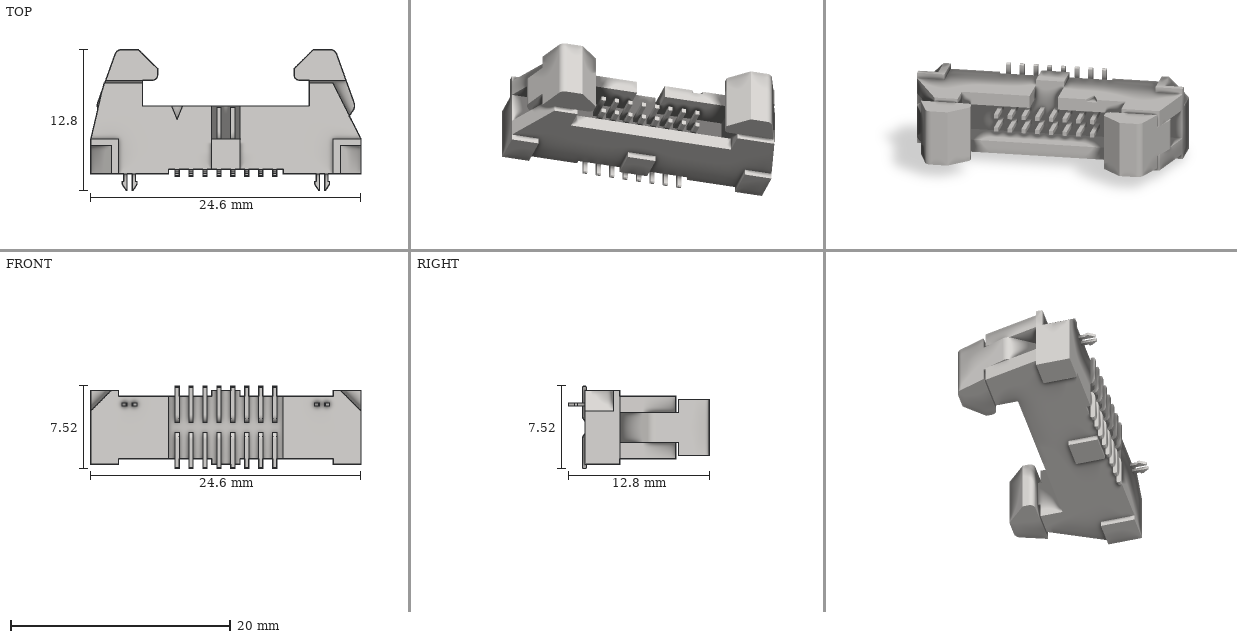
import cadquery as cq
import math


half_length = 12.32
shell_half_z = 2.85
shell_top_y = 6.2
base_height = 3.18
recess_half_x = 5.22
recess_depth = 0.42

ear_top_y = 8.28
ear_inner_x = 7.6
ear_top_left_x = 11.11
ear_top_right_x = 9.75

block_half_z = 3.38
corner_block_length = 2.55
key_width = 2.6
corner_cut = 1.87
corner_cut_height = 2.59

cavity_half_z = 1.7
slot_half_z = 1.38
mark_width = 1.0
mark_length = 1.25
mark_depth = 0.25

pin_count = 8
pin_row_length = 8.9
pin_pitch = pin_row_length / (pin_count - 1)
pin_width = 0.4
pin_top_y = 6.05
pin_leg_y = -0.25
pin_span_z = 7.52
pin_reach_z = pin_span_z / 2
pin_bend_radius = 0.67
pin_tip_chamfer = 0.1

peg_x = 8.77
peg_z = 2.1
peg_thickness = 0.3
peg_inner = 0.22
peg_outer = 0.55
peg_barb = 0.7
barb_start_y = -0.7
barb_end_y = -0.94
peg_tip_y = -1.5
peg_tip_width = 0.1

head_top_y = 11.33
head_bottom_y = 8.53
head_half_z = 2.56
head_tip_x = 6.2
head_tip_y = 9.58
head_chamfer_x = 7.98
head_outer_x = 9.95
head_outer_radius = 0.65
hook_radius = 0.5
bulge_x = 11.83
bulge_y = 6.1
bulge_radius = 0.8
foot_outer_x = 9.8


def box(x_min, x_max, y_min, y_max, z_min, z_max):
    """Axis-aligned block between the given limits."""
    size = (x_max - x_min, y_max - y_min, z_max - z_min)
    return cq.Workplane("XY").box(*size, centered=False).translate((x_min, y_min, z_min))


def plate(points, z_min, z_max):
    """Prism with an XY outline between two heights."""
    return cq.Workplane("XY").workplane(offset=z_min).polyline(points).close().extrude(z_max - z_min)


def pin_x(index):
    """X position of a pin column, counted from the left."""
    return (index - (pin_count - 1) / 2) * pin_pitch


def round_corner(prism, x, y, radius):
    """Round the vertical edge of a prism standing at (x, y)."""
    return prism.edges(cq.selectors.NearestToPointSelector((x, y, 0))).fillet(radius)


def make_shell():
    """Outer form of the housing with its ears, raised blocks and openings."""
    outline = [
        (-half_length, 0),
        (half_length, 0),
        (half_length, base_height),
        (ear_top_right_x, ear_top_y),
        (ear_inner_x, ear_top_y),
        (ear_inner_x, shell_top_y),
        (-ear_inner_x, shell_top_y),
        (-ear_inner_x, ear_top_y),
        (-ear_top_left_x, ear_top_y),
        (-half_length, base_height),
    ]
    shell = plate(outline, -shell_half_z, shell_half_z)

    block_inner_x = half_length - corner_block_length
    for x_min, x_max in (
        (-half_length, -block_inner_x),
        (-key_width / 2, key_width / 2),
        (block_inner_x, half_length),
    ):
        shell = shell.union(box(x_min, x_max, 0, base_height, -block_half_z, block_half_z))

    for side in (-1, 1):
        cut = (
            cq.Workplane("XZ")
            .polyline([
                (side * half_length, block_half_z),
                (side * (half_length - corner_cut), block_half_z),
                (side * half_length, block_half_z - corner_cut),
            ])
            .close()
            .extrude(-corner_cut_height)
        )
        shell = shell.cut(cut)

    shell = shell.cut(box(-recess_half_x, recess_half_x, 0, recess_depth, -block_half_z, block_half_z))

    shell = shell.cut(
        box(-ear_inner_x, ear_inner_x, base_height, ear_top_y, -cavity_half_z, cavity_half_z)
    )
    shell = shell.cut(
        box(-half_length, half_length, base_height, ear_top_y, -slot_half_z, slot_half_z)
    )

    shell = shell.cut(box(-key_width / 2, key_width / 2, base_height, shell_top_y, 0, shell_half_z))

    mark_x = pin_x(0)
    mark = plate(
        [
            (mark_x - mark_width / 2, shell_top_y),
            (mark_x + mark_width / 2, shell_top_y),
            (mark_x, shell_top_y - mark_length),
        ],
        shell_half_z - mark_depth,
        shell_half_z,
    )
    return shell.cut(mark)


def make_pin(x, side):
    """Right-angle contact of the upper (side = 1) or lower (side = -1) row."""
    inner_z = pin_pitch / 2 - pin_width / 2
    outer_z = inner_z + pin_width
    bend_z = inner_z + pin_bend_radius
    bend_y = pin_leg_y + pin_bend_radius
    inner_radius = pin_bend_radius - pin_width
    leg_top_y = pin_leg_y + pin_width
    diagonal = math.sqrt(0.5)
    pin = (
        cq.Workplane("YZ")
        .moveTo(pin_top_y, inner_z)
        .lineTo(bend_y, inner_z)
        .threePointArc(
            (bend_y - pin_bend_radius * diagonal, bend_z - pin_bend_radius * diagonal),
            (pin_leg_y, bend_z),
        )
        .lineTo(pin_leg_y, pin_reach_z - pin_tip_chamfer)
        .lineTo(pin_leg_y + pin_tip_chamfer, pin_reach_z)
        .lineTo(leg_top_y - pin_tip_chamfer, pin_reach_z)
        .lineTo(leg_top_y, pin_reach_z - pin_tip_chamfer)
        .lineTo(leg_top_y, bend_z)
        .threePointArc(
            (bend_y - inner_radius * diagonal, bend_z - inner_radius * diagonal),
            (bend_y, outer_z),
        )
        .lineTo(pin_top_y, outer_z)
        .close()
        .extrude(pin_width / 2, both=True)
    )
    if side < 0:
        pin = pin.mirror("XY")
    return pin.translate((x, 0, 0))


def make_peg_leg(x, side):
    """One barbed half of a split peg, on the given side of its centre."""
    profile = [
        (peg_inner, 0),
        (peg_outer, 0),
        (peg_outer, barb_start_y),
        (peg_barb, barb_start_y),
        (peg_barb, barb_end_y),
        (peg_inner + peg_tip_width, peg_tip_y),
        (peg_inner, peg_tip_y),
    ]
    points = [(x + side * offset, y) for offset, y in profile]
    return plate(points, peg_z - peg_thickness / 2, peg_z + peg_thickness / 2)


def make_housing():
    """Shell together with its moulded-in pins and pegs."""
    housing = make_shell()
    for index in range(pin_count):
        for side in (-1, 1):
            housing = housing.union(make_pin(pin_x(index), side))
    for x in (-peg_x, peg_x):
        for side in (-1, 1):
            housing = housing.union(make_peg_leg(x, side))
    return housing


def make_latch(side):
    """Latch at the right (side = 1) or left (side = -1) end."""
    slope = (bulge_x - head_outer_x) / (head_top_y - bulge_y)
    neck_outer_x = head_outer_x + slope * (head_top_y - head_bottom_y)

    head = plate(
        [
            (head_tip_x, head_bottom_y),
            (neck_outer_x, head_bottom_y),
            (head_outer_x, head_top_y),
            (head_chamfer_x, head_top_y),
            (head_tip_x, head_tip_y),
        ],
        -head_half_z,
        head_half_z,
    )
    head = round_corner(head, head_outer_x, head_top_y, head_outer_radius)
    head = round_corner(head, head_tip_x, head_bottom_y, hook_radius)

    neck = plate(
        [
            (ear_inner_x, base_height),
            (foot_outer_x, base_height),
            (bulge_x, bulge_y),
            (neck_outer_x, head_bottom_y),
            (ear_inner_x, head_bottom_y),
        ],
        -slot_half_z,
        slot_half_z,
    )
    neck = round_corner(neck, bulge_x, bulge_y, bulge_radius)

    latch = head.union(neck)
    if side < 0:
        latch = latch.mirror("YZ")
    return latch


housing = make_housing()
latches = [make_latch(side) for side in (-1, 1)]

latch_solids = [latch.solids().val() for latch in latches]
result = cq.Compound.makeCompound([housing.solids().val(), *latch_solids])